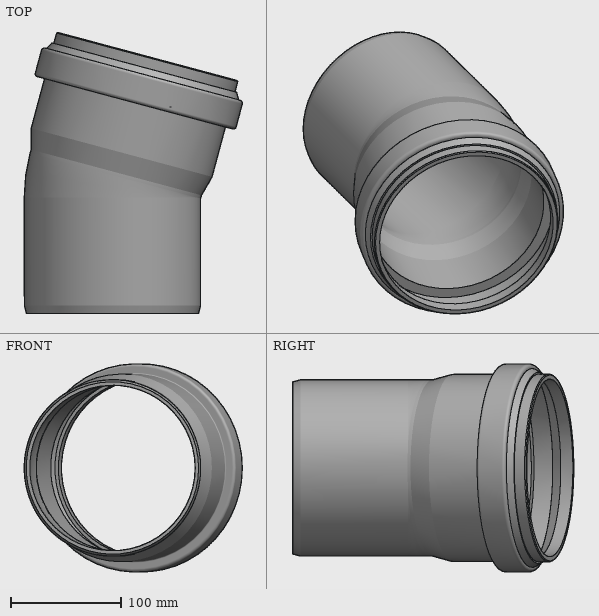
import cadquery as cq
import math


bend_angle = 15.0
bend_radius = 76.5

pipe_radius = 160.1 / 2
bore_radius = 149.9 / 2
spigot_length = 104.9
spigot_taper_length = 7.2
spigot_taper_angle = 15.0
spigot_taper_depth = spigot_taper_length * math.tan(math.radians(spigot_taper_angle))

socket_wall = 4.7
body_radius = 170.1 / 2
lip_radius = 170.4 / 2
bead_radius = 188.8 / 2
bead_top_fillet = 3.1
bead_bottom_fillet = 2.7
bead_root_fillet = 1.0
lip_chamfer = 0.9

socket_length = 112.3
collar_length = 3.2
flare_angle = 15.0
flare_length = (body_radius - pipe_radius) / math.tan(math.radians(flare_angle))
flare_end = collar_length + flare_length
lip_length = 10.5
shoulder_length = 6.1
bead_width = 27.0
lip_start = socket_length - lip_length
bead_top = lip_start - shoulder_length
bead_bottom = bead_top - bead_width

shoulder_angle = 30.0
shoulder_slope = math.tan(math.radians(shoulder_angle))
ledge_width = 1.5
ledge_radius = lip_radius + ledge_width
shoulder_radius = ledge_radius + shoulder_slope * shoulder_length

groove_radius = bead_radius - socket_wall
groove_bottom = bead_bottom + socket_wall
groove_top = bead_top - socket_wall

inner_ledge_drop = 0.8
inner_ledge_width = 3.2
inner_ledge = lip_start - inner_ledge_drop
inner_ledge_radius = lip_radius - socket_wall + inner_ledge_width
inner_shoulder_radius = inner_ledge_radius + shoulder_slope * (inner_ledge - groove_top)


def turn_about_y(profile):
    """Turn a closed profile (radius along X) about the Y axis."""
    return profile.close().revolve(360, (0, 0, 0), (0, 1, 0))


def bend_section(section):
    """Sweep a cross-section at Y = 0 about the bend axis."""
    return section.revolve(bend_angle, (bend_radius, 1, 0), (bend_radius, 0, 0))


def place_on_bend(socket):
    """Move a socket shape from Y = 0 to the far end of the bend."""
    return socket.rotate((bend_radius, 0, 0), (bend_radius, 0, 1), -bend_angle)


def spigot_outside():
    """Straight pipe envelope with a taper at its free end."""
    return turn_about_y(
        cq.Workplane("XY")
        .moveTo(0, -spigot_length)
        .lineTo(pipe_radius - spigot_taper_depth, -spigot_length)
        .lineTo(pipe_radius, spigot_taper_length - spigot_length)
        .lineTo(pipe_radius, 0)
        .lineTo(0, 0)
    )


def bend_outside():
    """Bend envelope; the sliver of the section beyond the bend axis is left off."""
    half_chord = math.sqrt(pipe_radius**2 - bend_radius**2)
    section = (
        cq.Workplane("XZ")
        .moveTo(bend_radius, -half_chord)
        .threePointArc((-pipe_radius, 0), (bend_radius, half_chord))
        .close()
    )
    return bend_section(section)


def socket_outside():
    """Socket envelope: collar, flare, body, ring bead, shoulder, ledge and lip."""
    return turn_about_y(
        cq.Workplane("XY")
        .lineTo(pipe_radius, 0)
        .lineTo(pipe_radius, collar_length)
        .lineTo(body_radius, flare_end)
        .lineTo(body_radius, bead_bottom - bead_root_fillet)
        .radiusArc((body_radius + bead_root_fillet, bead_bottom), bead_root_fillet)
        .lineTo(bead_radius - bead_bottom_fillet, bead_bottom)
        .radiusArc((bead_radius, bead_bottom + bead_bottom_fillet), -bead_bottom_fillet)
        .lineTo(bead_radius, bead_top - bead_top_fillet)
        .radiusArc((bead_radius - bead_top_fillet, bead_top), -bead_top_fillet)
        .lineTo(shoulder_radius, bead_top)
        .lineTo(ledge_radius, lip_start)
        .lineTo(lip_radius, lip_start)
        .lineTo(lip_radius, socket_length - lip_chamfer)
        .lineTo(lip_radius - lip_chamfer, socket_length)
        .lineTo(0, socket_length)
    )


def socket_inside():
    """Socket bore with the seal groove inside the bead."""
    return turn_about_y(
        cq.Workplane("XY")
        .lineTo(bore_radius, 0)
        .lineTo(bore_radius, collar_length)
        .lineTo(body_radius - socket_wall, flare_end)
        .lineTo(body_radius - socket_wall, groove_bottom)
        .lineTo(groove_radius, groove_bottom)
        .lineTo(groove_radius, groove_top)
        .lineTo(inner_shoulder_radius, groove_top)
        .lineTo(inner_ledge_radius, inner_ledge)
        .lineTo(lip_radius - socket_wall, inner_ledge)
        .lineTo(lip_radius - socket_wall, socket_length)
        .lineTo(0, socket_length)
    )


spigot_bore = cq.Workplane("XZ").circle(bore_radius).extrude(spigot_length)
bend_bore = bend_section(cq.Workplane("XZ").circle(bore_radius))

outside = spigot_outside().union(bend_outside()).union(place_on_bend(socket_outside()))
result = outside.cut(spigot_bore).cut(bend_bore).cut(place_on_bend(socket_inside()))